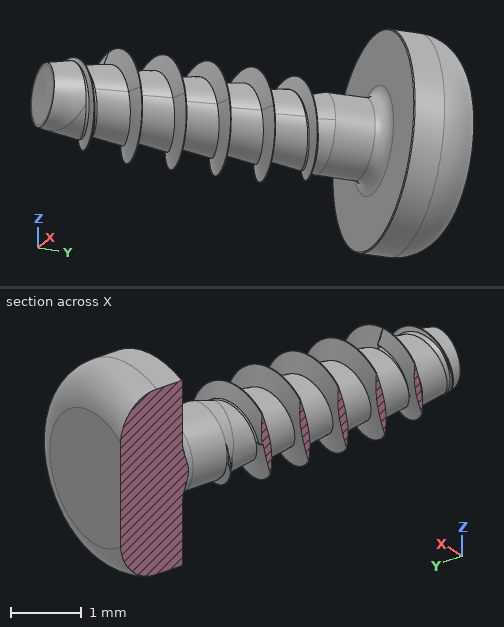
import cadquery as cq
import math


head_diameter = 3.2
head_height = 1.1
head_side_height = 0.46
head_flat_radius = 1.04
head_edge_chamfer = 0.015

neck_radius = 0.592
neck_length = 0.8
neck_fillet = 0.2

screw_length = 5.0
thread_radius = 0.8
pitch = 0.67
crest_depth_at_x = 1.14
crest_half_width = 0.006
root_half_width = 0.095
root_radius_wide = 0.56
root_radius_narrow = 0.493
cutter_clearance = 0.01

sinking_turns = 1.5
run_in_radius = 0.59
run_out_radius = 0.46
run_in_turns_past_x = 0.5
run_out_turns_past_x = 4.25

lead_cone_end = 1.2
lead_cone_end_radius = 0.48

tip_radius = 0.465
tip_cone_start = 4.5
tip_cone_start_radius = 0.567
cup_radius = 0.425
cup_depth = 0.03


def revolve(outline):
    """Turn a closed (radius, Z) outline once around the screw axis."""
    return outline.close().revolve(360, (0, 0, 0), (0, 1, 0))


def make_head_and_neck():
    head_radius = head_diameter / 2
    crown_width = head_radius - head_flat_radius
    crown_height = head_height - head_side_height
    crown_radius = (crown_width**2 + crown_height**2) / (2 * crown_width)
    outline = (
        cq.Workplane("XZ")
        .moveTo(0, head_height)
        .lineTo(head_flat_radius, head_height)
        .radiusArc((head_radius, head_side_height), crown_radius)
        .lineTo(head_radius, head_edge_chamfer)
        .lineTo(head_radius - head_edge_chamfer, 0)
        .lineTo(neck_radius + neck_fillet, 0)
        .radiusArc((neck_radius, -neck_fillet), -neck_fillet)
        .lineTo(neck_radius, -neck_length)
        .lineTo(0, -neck_length)
    )
    return revolve(outline)


def make_lead_cone():
    """Cone that carries the neck down to the core of the thread."""
    outline = (
        cq.Workplane("XZ")
        .moveTo(0, -neck_length)
        .lineTo(neck_radius, -neck_length)
        .lineTo(lead_cone_end_radius, -lead_cone_end)
        .lineTo(0, -lead_cone_end)
    )
    return revolve(outline)


def make_thread_blank():
    """Cylinder of the crests, stepped down to a cone at the tip."""
    outline = (
        cq.Workplane("XZ")
        .moveTo(0, -neck_length)
        .lineTo(thread_radius, -neck_length)
        .lineTo(thread_radius, -tip_cone_start)
        .lineTo(tip_cone_start_radius, -tip_cone_start)
        .lineTo(tip_radius, -screw_length)
        .lineTo(0, -screw_length)
    )
    return revolve(outline)


def flank_half_width(radius, root_radius):
    """Half thickness of a thread at a radius, on a flank that starts at root_radius."""
    rise = (radius - root_radius) / (thread_radius - root_radius)
    return root_half_width + rise * (crest_half_width - root_half_width)


def make_groove_turn(crest_z):
    """One turn of the groove on the tip side of a crest, starting at crest_z on the +X side."""
    outer = thread_radius + cutter_clearance
    next_crest_z = crest_z - pitch
    section = (
        cq.Workplane("XZ")
        .moveTo(outer, crest_z - flank_half_width(outer, root_radius_wide))
        .lineTo(root_radius_wide, crest_z - root_half_width)
        .lineTo(root_radius_narrow, next_crest_z + root_half_width)
        .lineTo(outer, next_crest_z + flank_half_width(outer, root_radius_narrow))
        .close()
    )
    helix = cq.Wire.makeHelix(pitch, pitch, thread_radius, center=cq.Vector(0, 0, crest_z))
    return section.sweep(cq.Workplane(obj=helix), isFrenet=True)


def make_thread():
    """Cut the groove into the blank turn by turn, past both ends of the thread."""
    thread = make_thread_blank()
    first_crest_z = pitch - crest_depth_at_x
    turns = math.ceil((first_crest_z + screw_length) / pitch)
    for turn in range(turns + 1):
        thread = thread.cut(make_groove_turn(first_crest_z - turn * pitch), clean=False)
    return thread


def make_ridge_remover(bottom_z):
    """Cutter that follows the ridge up from bottom_z and bares the core under it."""
    outer = thread_radius + cutter_clearance
    section = (
        cq.Workplane("XZ")
        .moveTo(outer, bottom_z + root_half_width)
        .lineTo(root_radius_narrow, bottom_z + root_half_width)
        .lineTo(root_radius_wide, bottom_z - root_half_width)
        .lineTo(outer, bottom_z - root_half_width)
        .close()
    )
    center = cq.Vector(0, 0, bottom_z)
    helix = cq.Wire.makeHelix(pitch, sinking_turns * pitch, thread_radius, center=center)
    return section.sweep(cq.Workplane(obj=helix), isFrenet=True)


def make_sinking_ridge(bottom_z, bottom_radius, top_radius):
    """Ridge whose crest follows a conical helix up from bottom_z."""
    height = sinking_turns * pitch
    cone_angle = math.atan((top_radius - bottom_radius) / height)
    slant = 1 / math.cos(cone_angle)
    helix = cq.Wire.makeHelix(
        pitch * slant,
        height * slant,
        bottom_radius,
        center=cq.Vector(0, 0, bottom_z),
        angle=math.degrees(cone_angle),
    )
    foot_radius = bottom_radius - (thread_radius - root_radius_wide)
    section = (
        cq.Workplane("XZ")
        .moveTo(bottom_radius, bottom_z + crest_half_width)
        .lineTo(foot_radius, bottom_z + root_half_width)
        .lineTo(foot_radius, bottom_z - root_half_width)
        .lineTo(bottom_radius, bottom_z - crest_half_width)
        .close()
    )
    return section.sweep(cq.Workplane(obj=helix), isFrenet=True)


def sink_ridge(shaft, bottom_turns_past_x, bottom_radius, top_radius):
    """Replace a stretch of full ridge, given by its lower end, with a sinking one."""
    bottom_z = -crest_depth_at_x - bottom_turns_past_x * pitch
    turn_angle = -360 * bottom_turns_past_x
    axis = ((0, 0, 0), (0, 0, 1))
    remover = make_ridge_remover(bottom_z).rotate(*axis, turn_angle)
    ridge = make_sinking_ridge(bottom_z, bottom_radius, top_radius).rotate(*axis, turn_angle)
    shaft_space = (
        cq.Workplane("XY")
        .workplane(offset=-screw_length)
        .circle(head_diameter)
        .extrude(screw_length - neck_length)
    )
    return shaft.cut(remover).union(ridge.intersect(shaft_space))


def make_tip_cup():
    """Shallow conical hollow in the end face."""
    outline = (
        cq.Workplane("XZ")
        .moveTo(0, -screw_length)
        .lineTo(cup_radius, -screw_length)
        .lineTo(0, -screw_length + cup_depth)
    )
    return revolve(outline)


shaft = make_thread()
shaft = sink_ridge(shaft, run_in_turns_past_x, thread_radius, run_in_radius)
shaft = sink_ridge(shaft, run_out_turns_past_x + sinking_turns, run_out_radius, thread_radius)
screw = make_head_and_neck().union(make_lead_cone()).union(shaft).cut(make_tip_cup())
result = screw.rotate((0, 0, 0), (1, 0, 0), -90).solids()